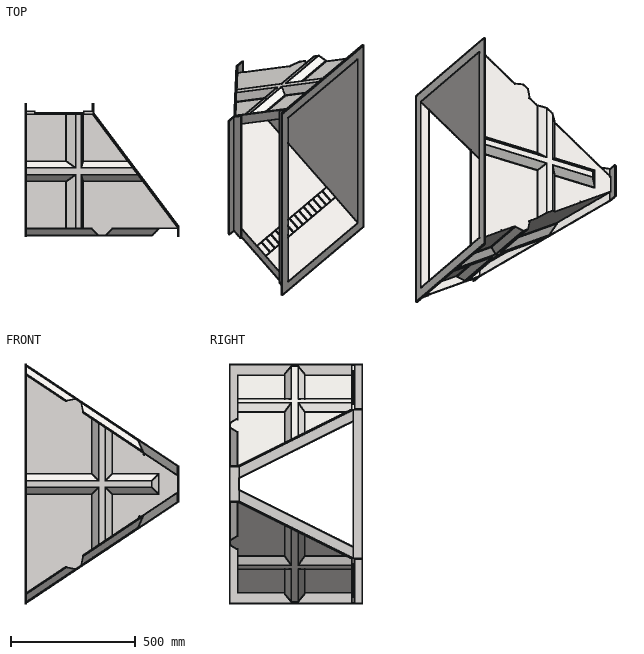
import cadquery as cq
import math

length = 617.0
depth = 533.0
height = 960.0
outlet_height = 139.0

sheet = 6.0
flange = 33.0
plate_back = depth - 37.0
rear_edge_x = 275.0
angle_thickness = 8.0
angle_leg = 39.0
clearance = 96.0

bead_base = 81.0
bead_foot = 3.0
bead_rise = 27.0
bead_end_x = 536.0
cross_bead_x = 198.0

pad_count = 15
pad_gap = 2.0
pad_thickness = 1.0
pad_length = 54.0
pad_center_x = 136.0

plate_front = flange
inner_front = flange + sheet
inner_back = plate_back - sheet
bead_height = bead_foot + bead_rise
slope = math.atan2((height - outlet_height) / 2, length)
bead_center_y = (plate_front + inner_back) / 2


def half_height(x, inset):
    """Half height of the wedge outline at x, with its slopes moved inward by inset."""
    return height / 2 - x * math.tan(slope) - inset / math.cos(slope)


def wedge(inset, y_start=0.0, y_end=depth):
    """Tapered block whose sloped sides lie inset below the outer envelope."""
    inlet = half_height(0, inset)
    outlet = half_height(length, inset)
    outline = [(0, -inlet), (length, -outlet), (length, outlet), (0, inlet)]
    return (
        cq.Workplane("XZ", origin=(0, y_start, 0))
        .polyline(outline)
        .close()
        .extrude(-(y_end - y_start))
    )


def plan_block(points):
    """Full height block with the given outline in X and Y."""
    return cq.Workplane("XY", origin=(0, 0, -height / 2)).polyline(points).close().extrude(height)


def plan_rect(x_start, x_end, y_start, y_end):
    """Full height rectangular block."""
    return plan_block([(x_start, y_start), (x_end, y_start), (x_end, y_end), (x_start, y_end)])


def bead(plane, run):
    """Bar with the bead section, standing along local Y and extruded both ways by run."""
    top = bead_base - 2 * bead_rise
    section = [
        (-bead_base / 2, 0),
        (bead_base / 2, 0),
        (bead_base / 2, bead_foot),
        (top / 2, bead_height),
        (-top / 2, bead_height),
        (-bead_base / 2, bead_foot),
    ]
    return cq.Workplane(plane).polyline(section).close().extrude(run, both=True)


body_plan = plan_block([
    (0, plate_front),
    (length, plate_front),
    (length, inner_front),
    (rear_edge_x, plate_back),
    (0, plate_back),
])

funnel = wedge(flange).cut(wedge(flange + sheet, inner_front, depth + clearance))
funnel = funnel.intersect(body_plan)


def inlet_flange():
    """Rectangular ring around the inlet."""
    opening_half = half_height(0, flange + sheet)
    opening = (
        cq.Workplane("XY")
        .box(sheet, plate_back - inner_front, 2 * opening_half, centered=(False, False, True))
        .translate((0, inner_front, 0))
    )
    return plan_rect(0, sheet, 0, depth).cut(opening)


def slope_flanges():
    """Upstanding rims on the rear and slanted edges of the sloped plates."""
    slant = math.atan2(plate_back - inner_front, length - rear_edge_x)
    shift_x = sheet / math.sin(slant)
    slanted = plan_block([
        (length, inner_front),
        (rear_edge_x, plate_back),
        (rear_edge_x - shift_x, plate_back),
        (length - shift_x, inner_front),
    ])
    rear = plan_rect(0, rear_edge_x, inner_back, plate_back)
    return slanted.union(rear).intersect(wedge(0)).cut(wedge(flange))


def rear_angles():
    """Angle bars at both ends of the open rear side."""
    inlet_leg = plan_rect(0, angle_leg, plate_back, plate_back + angle_thickness)
    outlet_leg = plan_rect(rear_edge_x - angle_leg, rear_edge_x, plate_back, plate_back + angle_thickness)
    outlet_flange = plan_rect(rear_edge_x - sheet, rear_edge_x, plate_back, depth)
    return inlet_leg.union(outlet_leg).union(outlet_flange).intersect(wedge(0))


def front_outlet_flange():
    """Lip bent forward at the outlet end of the front plate."""
    return plan_rect(length - sheet, length, 0, inner_front).intersect(wedge(0))


def front_beads():
    """Cross of beads on the outer face of the front plate."""
    upright_plane = cq.Plane(origin=(length / 2, plate_front, 0), xDir=(-1, 0, 0), normal=(0, 0, 1))
    upright = bead(upright_plane, height / 2).intersect(wedge(flange))
    level_plane = cq.Plane(origin=(0, plate_front, 0), xDir=(0, 0, -1), normal=(-1, 0, 0))
    level = bead(level_plane, length)
    level_span = plan_block([
        (0, plate_front),
        (bead_end_x, plate_front),
        (bead_end_x, plate_front - bead_foot),
        (bead_end_x - bead_rise, plate_front - bead_height),
        (0, plate_front - bead_height),
    ])
    return upright.union(level.intersect(level_span))


def slope_beads():
    """Cross of beads on the outer face of the upper sloped plate."""
    foot = (cross_bead_x, bead_center_y, half_height(cross_bead_x, flange))
    downhill = (math.cos(slope), 0, -math.sin(slope))
    along = bead(cq.Plane(origin=foot, xDir=(0, 1, 0), normal=downhill), length)
    across = bead(cq.Plane(origin=foot, xDir=downhill, normal=(0, -1, 0)), depth)
    return along.union(across).intersect(body_plan)


def pads():
    """Row of thin pads across the lower sloped plate, each half sunk into its inner face."""
    pitch = (plate_back - inner_front + pad_gap) / pad_count
    row = cq.Workplane("XY")
    for i in range(pad_count):
        pad = cq.Workplane("XY").box(
            pad_length, pitch - pad_gap, 2 * pad_thickness, centered=(True, False, True)
        )
        row = row.add(pad.translate((0, inner_front + i * pitch, 0)))
    foot_z = -half_height(pad_center_x, flange + sheet)
    return (
        row.combine()
        .rotate((0, 0, 0), (0, 1, 0), -math.degrees(slope))
        .translate((pad_center_x, 0, foot_z))
    )


upper_beads = slope_beads()
lower_beads = upper_beads.mirror("XY")

result = funnel
for feature in (
    inlet_flange(),
    slope_flanges(),
    rear_angles(),
    front_outlet_flange(),
    front_beads(),
    upper_beads,
    lower_beads,
    pads(),
):
    result = result.union(feature)